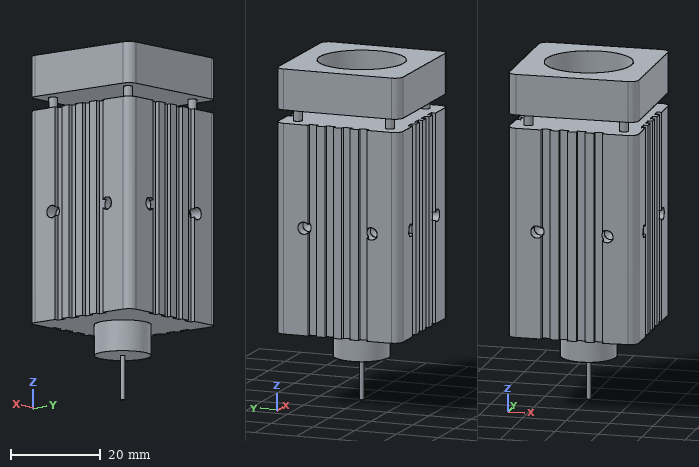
import cadquery as cq

side = 29.9
corner_radius = 2.0
total_height = 77.6

wire_length = 10.0
gland_height = 7.0
body_height = 48.2
gap_height = 3.0
gland_base = wire_length
body_base = gland_base + gland_height
body_top = body_base + body_height
head_base = body_top + gap_height
head_height = total_height - head_base

wire_diameter = 1.0
gland_diameter = 12.7
pin_diameter = 2.0
pin_offset = 11.0
bore_diameter = 19.9
bore_depth = 9.15

groove_count = 4
groove_width = 2.0
groove_depth = 1.0
groove_pitch = 2 * groove_width

hole_diameter = 2.8
hole_offset = 8.1
hole_height = 41.6
hole_depth = 3.0
hole_tip_depth = 0.8

side_angles = (0, 90, 180, 270)


def rounded_block(base, height):
    """Square block with rounded vertical corners, standing on the given height."""
    block = cq.Workplane("XY").workplane(offset=base).rect(side, side).extrude(height)
    return block.edges("|Z").fillet(corner_radius)


def cylinder(diameter, base, height):
    return cq.Workplane("XY").workplane(offset=base).circle(diameter / 2).extrude(height)


def side_grooves():
    """Vertical grooves along the -Y face of the body."""
    return (
        cq.Workplane("XY")
        .workplane(offset=body_base)
        .center(0, -side / 2)
        .rarray(groove_pitch, 0.8, groove_count, 1)
        .rect(groove_width, 2 * groove_depth)
        .extrude(body_height)
    )


def drilled_hole(x):
    """Blind hole with a conical bottom, drilled into the -Y face of the body."""
    profile = (
        cq.Workplane("XY")
        .moveTo(0, -side / 2)
        .lineTo(hole_diameter / 2, -side / 2)
        .lineTo(hole_diameter / 2, -side / 2 + hole_depth)
        .lineTo(0, -side / 2 + hole_depth + hole_tip_depth)
        .close()
    )
    return profile.revolve(360, (0, 0, 0), (0, 1, 0)).translate((x, 0, hole_height))


def turned(shape, angle):
    return shape.rotate((0, 0, 0), (0, 0, 1), angle)


def grooved_body():
    """Main block with grooves and two blind holes on each of its four sides."""
    body = rounded_block(body_base, body_height)
    for angle in side_angles:
        body = body.cut(turned(side_grooves(), angle))
        for x in (-hole_offset, hole_offset):
            body = body.cut(turned(drilled_hole(x), angle))
    return body


def bored_head():
    """Top block with a blind bore open at the top."""
    head = rounded_block(head_base, head_height)
    return head.cut(cylinder(bore_diameter, total_height - bore_depth, bore_depth))


gland = cylinder(gland_diameter, gland_base, gland_height)
wire = cylinder(wire_diameter, 0, wire_length)
pin = cylinder(pin_diameter, body_top, gap_height)

result = grooved_body().union(bored_head()).union(gland).union(wire)

for x in (-pin_offset, pin_offset):
    for y in (-pin_offset, pin_offset):
        result = result.union(pin.translate((x, y, 0)))